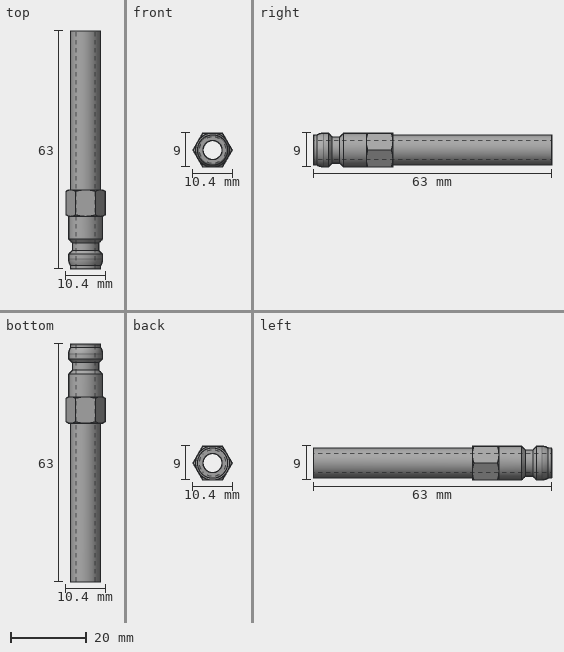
import cadquery as cq
import math

total_length = 63.0
hex_front = 14.0
hex_back = 21.0
body_front = 8.0
groove_back = 6.9
groove_front = 5.0
collar_back = 4.0
collar_front = 2.65
nose_back = 0.95

body_diameter = 9.0
groove_diameter = 7.0
tube_diameter = 8.0
bore_diameter = 5.0

hex_across_flats = body_diameter
hex_chamfer_angle = 30.0
tip_round = 0.25

body_radius = body_diameter / 2
groove_radius = groove_diameter / 2
tube_radius = tube_diameter / 2
hex_corner_diameter = hex_across_flats / math.cos(math.radians(30))


def make_turned_body():
    """Revolve the plug, its locking groove and the plain tube around Y."""
    shoulder_length = collar_front - nose_back
    shoulder_drop = body_radius - tube_radius
    shoulder_radius = (shoulder_length**2 + shoulder_drop**2) / (2 * shoulder_drop)
    half_sweep = math.asin(shoulder_length / shoulder_radius) / 2
    shoulder_middle = (
        body_radius - shoulder_radius * (1 - math.cos(half_sweep)),
        collar_front - shoulder_radius * math.sin(half_sweep),
    )
    profile = (
        cq.Workplane("XY")
        .lineTo(tube_radius, 0)
        .lineTo(tube_radius, nose_back)
        .threePointArc(shoulder_middle, (body_radius, collar_front))
        .lineTo(body_radius, collar_back)
        .lineTo(groove_radius, groove_front)
        .lineTo(groove_radius, groove_back)
        .lineTo(body_radius, body_front)
        .lineTo(body_radius, hex_front)
        .lineTo(tube_radius, hex_front)
        .lineTo(tube_radius, total_length)
        .lineTo(0, total_length)
        .close()
    )
    body = profile.revolve(360, (0, 0, 0), (0, 1, 0))
    return body.faces("<Y").edges().fillet(tip_round)


def make_hex():
    """Hexagon with corners on X and conical chamfers at both ends."""
    corner_radius = hex_corner_diameter / 2
    chamfer_length = (corner_radius - body_radius) * math.tan(math.radians(hex_chamfer_angle))
    prism = (
        cq.Workplane("XZ", origin=(0, hex_front, 0))
        .polygon(6, hex_corner_diameter)
        .extrude(hex_front - hex_back)
    )
    chamfer_envelope = (
        cq.Workplane("XY")
        .moveTo(0, hex_front)
        .lineTo(body_radius, hex_front)
        .lineTo(corner_radius, hex_front + chamfer_length)
        .lineTo(corner_radius, hex_back - chamfer_length)
        .lineTo(body_radius, hex_back)
        .lineTo(0, hex_back)
        .close()
        .revolve(360, (0, 0, 0), (0, 1, 0))
    )
    return prism.intersect(chamfer_envelope)


def make_bore():
    """Straight passage through the whole length."""
    return cq.Workplane("XZ").circle(bore_diameter / 2).extrude(-total_length)


result = make_turned_body().union(make_hex()).cut(make_bore())